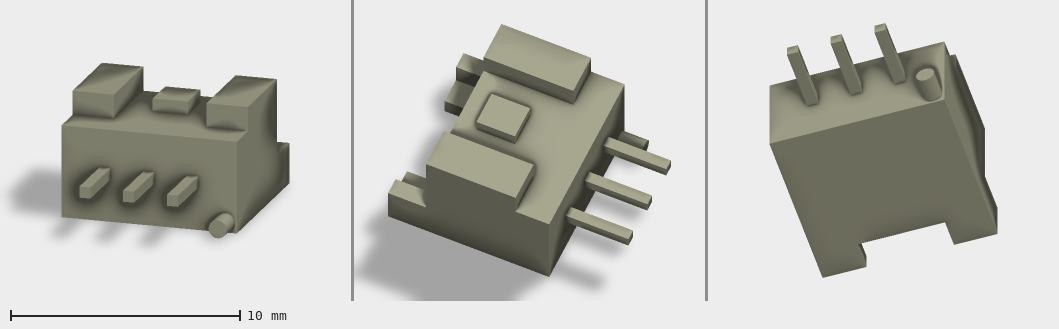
import cadquery as cq

total_length = 10.7
total_height = 5.3
width = 8.0
body_length = 5.9
body_height = 4.19

lug_width = 1.89
lug_height = total_height - body_height
lug_setback = 1.6

tab_width = 1.6
tab_length = 1.84
tab_height = 0.61
tab_rear_gap = 0.97

pin_length = 3.0
lip_length = total_length - body_length - pin_length
lip_height = 1.84
lip_wall = 0.8
lip_floor = 0.8
notch_width = 4.0
notch_depth = 1.3

pin_count = 3
pin_pitch = 2.0
pin_size = 0.5
pin_center_z = 2.2

peg_diameter = 0.81
peg_length = 1.2
peg_inset = 0.5


def block(size_x, size_y, size_z, center_x, start_y, start_z):
    """Box centred on center_x, growing toward +Y and +Z from its start."""
    return (
        cq.Workplane("XY")
        .box(size_x, size_y, size_z, centered=(True, False, False))
        .translate((center_x, start_y, start_z))
    )


result = block(width, body_length, body_height, 0, 0, 0)

lip = block(width, lip_length, lip_height, 0, body_length, 0)
channel = block(width - 2 * lip_wall, lip_length, lip_height - lip_floor, 0, body_length, lip_floor)
notch_start = body_length + lip_length - notch_depth
notch = block(notch_width, notch_depth, lip_floor, 0, notch_start, 0)
result = result.union(lip.cut(channel).cut(notch))

lug_length = body_length - lug_setback
for side in (-1, 1):
    lug_x = side * (width - lug_width) / 2
    result = result.union(block(lug_width, lug_length, lug_height, lug_x, lug_setback, body_height))

tab_start = body_length - tab_rear_gap - tab_length
result = result.union(block(tab_width, tab_length, tab_height, 0, tab_start, body_height))

for index in range(pin_count):
    pin_x = (index - (pin_count - 1) / 2) * pin_pitch
    pin_bottom = pin_center_z - pin_size / 2
    result = result.union(block(pin_size, pin_length, pin_size, pin_x, -pin_length, pin_bottom))

peg = (
    cq.Workplane("XZ")
    .center(width / 2 - peg_inset, peg_inset)
    .circle(peg_diameter / 2)
    .extrude(peg_length)
)
result = result.union(peg)